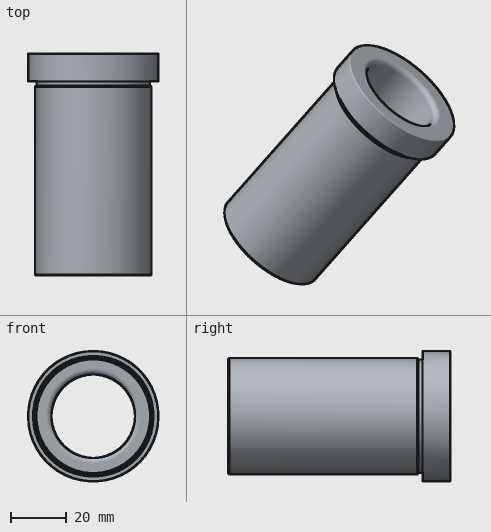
import cadquery as cq

total_length = 80.0
head_length = 10.0
head_radius = 47.0 / 2
body_radius = 42.0 / 2
bore_radius = 30.0 / 2

head_edge_radius = 0.4
bore_mouth_radius = 2.0
tip_chamfer = 0.5

neck_depth = 0.5
neck_length = 2.0
neck_chamfer = 0.5
neck_fillet_radius = 0.5
undercut_depth = 0.4
undercut_rim_radius = 21.7
undercut_wall_run = 0.4

tip_y = 0.0
head_top_y = tip_y + total_length
head_face_y = head_top_y - head_length
undercut_floor_y = head_face_y + undercut_depth
neck_start_y = head_face_y - neck_length
neck_radius = body_radius - neck_depth


def make_outer_body():
    """Solid bushing, revolved about Y from a half section of (Y station, radius) points."""
    profile = (
        cq.Workplane("YZ")
        .moveTo(tip_y, 0)
        .lineTo(tip_y, body_radius - tip_chamfer)
        .lineTo(tip_y + tip_chamfer, body_radius)
        .lineTo(neck_start_y, body_radius)
        .lineTo(neck_start_y + neck_chamfer, neck_radius)
        .lineTo(undercut_floor_y - neck_fillet_radius, neck_radius)
        .radiusArc((undercut_floor_y, neck_radius + neck_fillet_radius), -neck_fillet_radius)
        .lineTo(undercut_floor_y, undercut_rim_radius - undercut_wall_run)
        .lineTo(head_face_y, undercut_rim_radius)
        .lineTo(head_face_y, head_radius - head_edge_radius)
        .radiusArc((head_face_y + head_edge_radius, head_radius), head_edge_radius)
        .lineTo(head_top_y - head_edge_radius, head_radius)
        .radiusArc((head_top_y, head_radius - head_edge_radius), head_edge_radius)
        .lineTo(head_top_y, 0)
        .close()
    )
    return profile.revolve(360, (0, 0, 0), (1, 0, 0))


def cut_bore(body):
    """Cut the through bore and round its mouth at each end."""
    bore = cq.Workplane("XZ", origin=(0, tip_y, 0)).circle(bore_radius).extrude(-total_length)
    bored = body.cut(bore)
    bore_edges = cq.selectors.RadiusNthSelector(0)
    return bored.faces("<Y or >Y").edges(bore_edges).fillet(bore_mouth_radius)


result = cut_bore(make_outer_body())